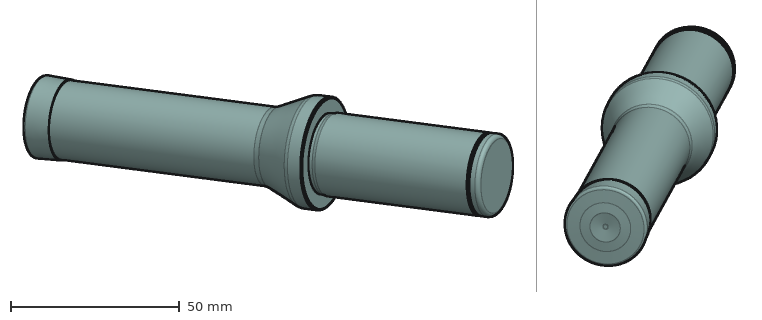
import cadquery as cq

total_length = 150.0
head_length = 9.0
neck_start = 94.0
neck_end = 95.2
shank_start = 96.3
groove_center = 146.4

head_diameter = 25.0
head_rear_diameter = 24.3
body_diameter = 23.8
flange_diameter = 34.0
shank_diameter = 25.0
neck_diameter = 24.5

face_inner_diameter = 15.3
rim_diameter = 9.2
recess_floor_diameter = 1.5
face_outer_depth = 0.6
face_inner_depth = 0.3
recess_depth = 0.6
head_fillet = 0.9

cone_start = 77.0
cone_end = 88.8
cone_root_fillet = 4.5
cone_rim_fillet = 3.0
flange_chamfer = 0.5

groove_width = 0.9
groove_depth = 0.2
end_fillet = 1.4


def revolved(outline):
    """Revolve a closed (x, radius) outline about the X axis."""
    return cq.Workplane("XY").polyline(outline).close().revolve(360, (0, 0, 0), (1, 0, 0))


def circle_edges(x_position, diameter):
    """Select the circular edge of the given diameter at x_position."""
    margin = 0.08
    reach = diameter / 2 + margin
    return cq.selectors.BoxSelector(
        (x_position - margin, -reach, -reach),
        (x_position + margin, reach, reach),
        boundingbox=True,
    )


def make_head():
    head = revolved([
        (recess_depth, 0),
        (recess_depth, recess_floor_diameter / 2),
        (0, rim_diameter / 2),
        (face_inner_depth, face_inner_diameter / 2),
        (face_outer_depth, head_diameter / 2),
        (head_length, head_rear_diameter / 2),
        (head_length, 0),
    ])
    return head.edges(circle_edges(face_outer_depth, head_diameter)).fillet(head_fillet)


def make_holder():
    holder = revolved([
        (head_length, 0),
        (head_length, body_diameter / 2),
        (cone_start, body_diameter / 2),
        (cone_end, flange_diameter / 2),
        (neck_start, flange_diameter / 2),
        (neck_start, neck_diameter / 2),
        (neck_end, neck_diameter / 2),
        (shank_start, shank_diameter / 2),
        (total_length, shank_diameter / 2),
        (total_length, 0),
    ])
    holder = holder.edges(circle_edges(cone_start, body_diameter)).fillet(cone_root_fillet)
    holder = holder.edges(circle_edges(cone_end, flange_diameter)).fillet(cone_rim_fillet)
    flange_rear_edges = holder.edges(circle_edges(neck_start, flange_diameter))
    holder = flange_rear_edges.edges(cq.selectors.RadiusNthSelector(-1)).chamfer(flange_chamfer)
    holder = holder.edges(circle_edges(total_length, shank_diameter)).fillet(end_fillet)
    return holder.cut(make_shank_groove())


def make_shank_groove():
    """V-shaped ring that cuts the shallow groove near the rear end."""
    shank_radius = shank_diameter / 2
    return revolved([
        (groove_center - groove_width / 2, shank_radius),
        (groove_center, shank_radius - groove_depth),
        (groove_center + groove_width / 2, shank_radius),
    ])


head = make_head()
holder = make_holder()
result = cq.Compound.makeCompound([head.val(), holder.val()])